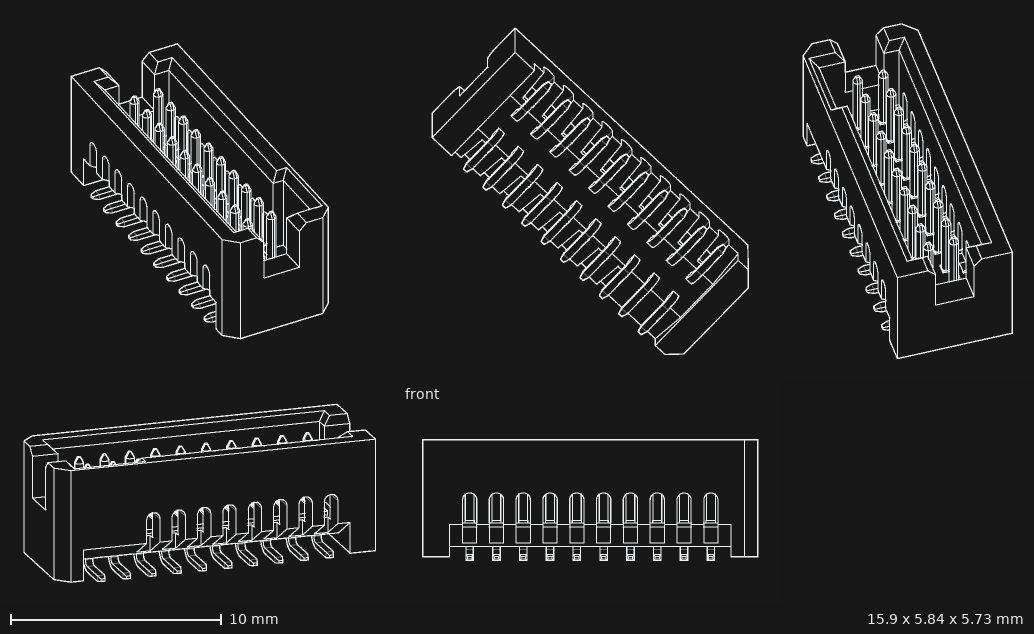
import cadquery as cq
import math


length = 15.88
width = 5.7
height = 5.56
corner_chamfer = 0.64

pins_per_row = 10
pitch = 1.27
pin_diameter = 0.45
pin_tip_diameter = 0.17
pin_flat_width = 0.13
pin_base_width = 0.45
pin_base_top_z = 1.72
pin_shoulder_z = 4.73
pin_tip_z = 5.02

cavity_length = 13.34
cavity_width = 3.43
cavity_floor_z = 1.43
lead_in = 0.38
key_pocket_length = 2.8
key_pocket_depth = 0.54
island_length = 12.29
island_width = 2.16
island_top_z = 1.62

notch_width = 1.9
notch_floor_z = 3.1

relief_length = 13.34
relief_flat_half_width = 1.11
relief_inner_z = 0.5
relief_outer_z = 1.54

slot_width = 0.67
slot_top_z = 3.03
slot_inner_y = 1.4

lead_width = 0.37
lead_thickness = 0.29
lead_bottom_z = -0.17
lead_end_y = 2.92
lead_tip_length = 0.3
lead_tip_bevel = 0.08
bend_inner_diameter = 0.5
bend_outer_radius = 0.75

pin_xs = [(i - (pins_per_row - 1) / 2) * pitch for i in range(pins_per_row)]
row_y = pitch / 2
cavity_end_x = cavity_length / 2
cavity_side_y = cavity_width / 2
key_start_x = cavity_end_x - key_pocket_length


def block(x0, x1, y0, y1, z0, z1):
    """Box between two opposite corners."""
    return cq.Workplane("XY").box(x1 - x0, y1 - y0, z1 - z0, centered=False).translate((x0, y0, z0))


def on_side(feature, side):
    """Feature modelled at -Y, kept there for side = -1 and mirrored to +Y for side = 1."""
    return feature.mirror("XZ") if side > 0 else feature


def flared_pocket(x0, x1, y0, y1, floor_z):
    """Rectangular pocket from the floor to the housing top, with a 45 degree lead-in at its mouth."""
    pocket = block(x0, x1, y0, y1, floor_z, height)
    mouth = (
        cq.Workplane("XY", origin=((x0 + x1) / 2, (y0 + y1) / 2, height - lead_in))
        .rect(x1 - x0, y1 - y0)
        .workplane(offset=lead_in)
        .rect(x1 - x0 + 2 * lead_in, y1 - y0 + 2 * lead_in)
        .loft(ruled=True)
    )
    return pocket.union(mouth)


def make_cavity():
    """Main cavity with the polarising pocket in its +Y wall at the +X end."""
    main = flared_pocket(-cavity_end_x, cavity_end_x, -cavity_side_y, cavity_side_y, cavity_floor_z)
    key = flared_pocket(key_start_x, cavity_end_x, 0, cavity_side_y + key_pocket_depth, cavity_floor_z)
    island_x = island_length / 2
    island_y = island_width / 2
    island = block(-island_x, island_x, -island_y, island_y, cavity_floor_z, island_top_z)
    return main.union(key).cut(island)


def make_end_notches():
    """Chamfered notch running the whole length, so that it opens both end walls."""
    half = notch_width / 2
    return (
        cq.Workplane("YZ", origin=(-length / 2, 0, 0))
        .moveTo(-half, notch_floor_z)
        .lineTo(half, notch_floor_z)
        .lineTo(half, height - lead_in)
        .lineTo(half + lead_in, height)
        .lineTo(-half - lead_in, height)
        .lineTo(-half, height - lead_in)
        .close()
        .extrude(length)
    )


def make_relief():
    """Recess under the housing, flat in the middle and sloping up to each side wall."""
    side = width / 2
    return (
        cq.Workplane("YZ", origin=(-relief_length / 2, 0, 0))
        .moveTo(-side, 0)
        .lineTo(side, 0)
        .lineTo(side, relief_outer_z)
        .lineTo(relief_flat_half_width, relief_inner_z)
        .lineTo(-relief_flat_half_width, relief_inner_z)
        .lineTo(-side, relief_outer_z)
        .close()
        .extrude(relief_length)
    )


def make_slot(x, side):
    """Round-topped slot through a side wall and the edge of the cavity floor."""
    radius = slot_width / 2
    slot = (
        cq.Workplane("XZ", origin=(x, -slot_inner_y, 0))
        .moveTo(-radius, 0)
        .lineTo(radius, 0)
        .lineTo(radius, slot_top_z - radius)
        .threePointArc((0, slot_top_z), (-radius, slot_top_z - radius))
        .close()
        .extrude(width / 2 - slot_inner_y)
    )
    return on_side(slot, side)


def pin_section(diameter, z):
    """Wire of a circle with a flat on its -X and +X sides, centred on the Z axis."""
    radius = diameter / 2
    flat_y = pin_flat_width / 2
    flat_x = math.sqrt(radius**2 - flat_y**2)
    return (
        cq.Workplane("XY", origin=(0, 0, z))
        .moveTo(flat_x, -flat_y)
        .lineTo(flat_x, flat_y)
        .threePointArc((0, radius), (-flat_x, flat_y))
        .lineTo(-flat_x, -flat_y)
        .threePointArc((0, -radius), (flat_x, -flat_y))
        .close()
    )


def make_pin(x, side):
    """Pin with a square base, a coined round shank with two flats, and a tapered tip."""
    half_base = pin_base_width / 2
    base = block(-half_base, half_base, -half_base, half_base, cavity_floor_z, pin_base_top_z)
    shank = pin_section(pin_diameter, pin_base_top_z).extrude(pin_shoulder_z - pin_base_top_z)
    tip_sections = [
        pin_section(pin_diameter, pin_shoulder_z).val(),
        pin_section(pin_tip_diameter, pin_tip_z).val(),
    ]
    tip = cq.Workplane(cq.Solid.makeLoft(tip_sections, True))
    return on_side(base.union(shank).union(tip).translate((x, -row_y, 0)), side)


def make_lead(x, side):
    """Lead that drops from the housing, bends outwards and ends in a tapered tip."""
    top_z = lead_bottom_z + lead_thickness
    tip_start_y = lead_end_y - lead_tip_length
    back_y = row_y - pin_base_width / 2
    front_y = row_y + pin_base_width / 2
    inner_radius = bend_inner_diameter / 2
    root_z = (relief_inner_z + cavity_floor_z) / 2
    diagonal = 1 - math.sqrt(0.5)
    body = (
        cq.Workplane("YZ", origin=(x - lead_width / 2, 0, 0))
        .moveTo(-tip_start_y, lead_bottom_z)
        .lineTo(-back_y - bend_outer_radius, lead_bottom_z)
        .threePointArc(
            (-back_y - bend_outer_radius * diagonal, lead_bottom_z + bend_outer_radius * diagonal),
            (-back_y, lead_bottom_z + bend_outer_radius),
        )
        .lineTo(-back_y, root_z)
        .lineTo(-front_y, root_z)
        .lineTo(-front_y, top_z + inner_radius)
        .threePointArc(
            (-front_y - inner_radius * diagonal, top_z + inner_radius * diagonal),
            (-front_y - inner_radius, top_z),
        )
        .lineTo(-tip_start_y, top_z)
        .close()
        .extrude(lead_width)
    )
    tip = (
        cq.Workplane("XZ", origin=(x, -tip_start_y, lead_bottom_z + lead_thickness / 2))
        .rect(lead_width, lead_thickness)
        .workplane(offset=lead_tip_length)
        .rect(lead_width - 2 * lead_tip_bevel, lead_thickness - 2 * lead_tip_bevel)
        .loft(ruled=True)
    )
    return on_side(body.union(tip), side)


housing = (
    cq.Workplane("XY")
    .box(length, width, height, centered=(True, True, False))
    .edges("|Z and >X")
    .chamfer(corner_chamfer)
    .cut(make_cavity())
    .cut(make_end_notches())
    .cut(make_relief())
)

slots = cq.Workplane("XY")
contacts = cq.Workplane("XY")
for side in (-1, 1):
    for x in pin_xs:
        if side < 0 or x < key_start_x:
            slots.add(make_slot(x, side))
        contacts.add(make_pin(x, side)).add(make_lead(x, side))

result = housing.cut(slots.combine()).union(contacts.combine())